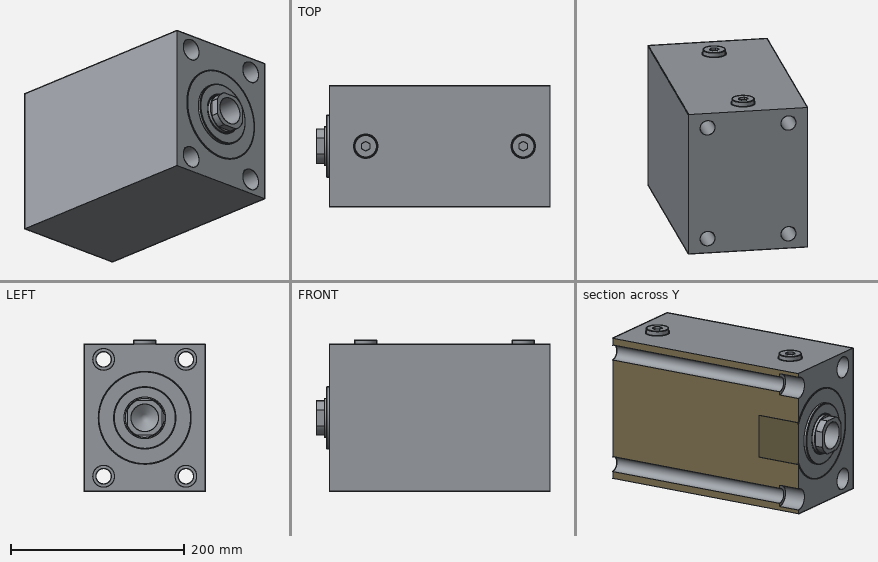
import cadquery as cq
import math

overall_length = 270.0
housing_length = 255.0
housing_width = 140.0
housing_height = 170.0
housing_edge_chamfer = 0.5
nose_length = overall_length - housing_length

bolt_spacing_y = 95.0
bolt_spacing_z = 135.0
bolt_diameter = 17.5
counterbore_diameter = 25.0
counterbore_depth = 26.0

gland_diameter = 107.5
gland_depth = 54.0
gland_rim_chamfer = 0.8
boss_diameter = 72.0
boss_length = 3.5
boss_chamfer = 0.8

rod_diameter = 45.0
wiper_recess_diameter = 48.0
wiper_recess_depth = 1.4
shoulder_length = 6.0
tip_diameter = 44.0
tip_flats_width = 40.0
socket_diameter = 31.9
socket_depth = 43.2
drill_point_angle = 118.0

plug_spacing = 182.0
first_plug_x = 41.8
plug_diameter = 26.0
plug_top_chamfer = 0.5
plug_spotface_diameter = 28.0
plug_spotface_depth = 0.8
plug_height = 4.9
plug_seat_depth = 5.5
hex_width = 9.7
hex_depth = 2.7
plug_positions = [first_plug_x, first_plug_x + plug_spacing]


def x_cylinder(diameter, start_x, end_x):
    """Cylinder on the rod axis between two X positions."""
    return cq.Workplane("YZ", origin=(start_x, 0, 0)).circle(diameter / 2).extrude(end_x - start_x)


def make_housing():
    """Block with its rod-end face at X = 0 and the rod axis through its centre."""
    housing = cq.Workplane("XY").box(housing_length, housing_width, housing_height, centered=(False, True, True))
    housing = housing.edges(">Z and <Y").chamfer(housing_edge_chamfer)
    housing = housing.cut(x_cylinder(gland_diameter, 0, gland_depth))
    bolt_centers = cq.Workplane("YZ").rarray(bolt_spacing_y, bolt_spacing_z, 2, 2)
    housing = housing.cut(bolt_centers.circle(bolt_diameter / 2).extrude(housing_length))
    housing = housing.cut(bolt_centers.circle(counterbore_diameter / 2).extrude(counterbore_depth))
    for plug_x in plug_positions:
        top = cq.Workplane("XY", origin=(plug_x, 0, housing_height / 2))
        housing = housing.cut(top.circle(plug_diameter / 2).extrude(-plug_seat_depth))
        housing = housing.cut(top.circle(plug_spotface_diameter / 2).extrude(-plug_spotface_depth))
    return housing


def make_gland():
    """Disc flush with the housing face, with a raised boss and a bore for the rod."""
    disc = x_cylinder(gland_diameter, 0, gland_depth).faces("<X").chamfer(gland_rim_chamfer)
    boss = x_cylinder(boss_diameter, -boss_length, 0).faces("<X").chamfer(boss_chamfer)
    bore = x_cylinder(rod_diameter, -boss_length, gland_depth)
    recess = x_cylinder(wiper_recess_diameter, -boss_length, wiper_recess_depth - boss_length)
    return disc.union(boss).cut(bore).cut(recess)


def make_rod():
    """Rod through the gland, with a flatted tip and a socket ending in a drill point."""
    rod = x_cylinder(rod_diameter, -shoulder_length, gland_depth)
    flats = cq.Workplane("YZ", origin=(-nose_length, 0, 0)).rect(tip_flats_width, tip_flats_width)
    tip = x_cylinder(tip_diameter, -nose_length, -shoulder_length)
    tip = tip.intersect(flats.extrude(nose_length - shoulder_length))
    socket_radius = socket_diameter / 2
    point_length = socket_radius / math.tan(math.radians(drill_point_angle / 2))
    socket_end = socket_depth - nose_length
    socket = (
        cq.Workplane("XZ")
        .moveTo(-nose_length, 0)
        .lineTo(-nose_length, socket_radius)
        .lineTo(socket_end, socket_radius)
        .lineTo(socket_end + point_length, 0)
        .close()
        .revolve(360, (0, 0, 0), (1, 0, 0))
    )
    return rod.union(tip).cut(socket)


def make_plug(plug_x):
    """Round plug seated in the top face, with a hexagon socket whose corners point along Y."""
    body = (
        cq.Workplane("XY", origin=(plug_x, 0, housing_height / 2 - plug_seat_depth))
        .circle(plug_diameter / 2)
        .extrude(plug_seat_depth + plug_height)
        .faces(">Z")
        .chamfer(plug_top_chamfer)
    )
    hex_socket = (
        cq.Workplane("XY", origin=(plug_x, 0, housing_height / 2 + plug_height))
        .transformed(rotate=(0, 0, 90))
        .polygon(6, hex_width / math.cos(math.pi / 6))
        .extrude(-hex_depth)
    )
    return body.cut(hex_socket)


housing = make_housing()
gland = make_gland()
rod = make_rod()
plugs = [make_plug(plug_x) for plug_x in plug_positions]

result = cq.Compound.makeCompound([housing.val(), gland.val(), rod.val(), *[plug.val() for plug in plugs]])